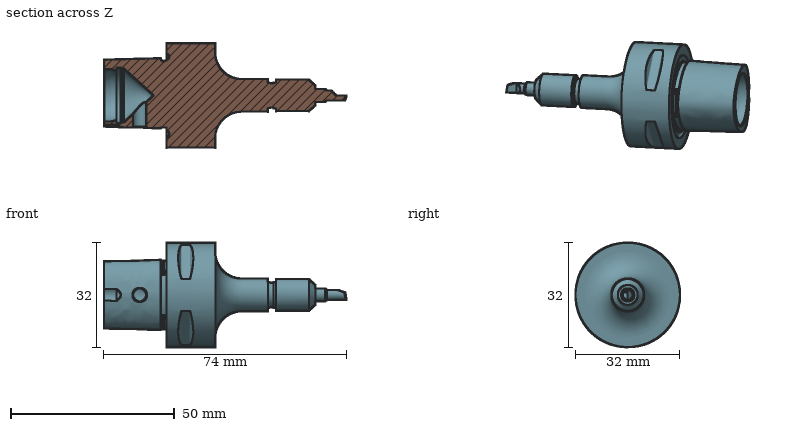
import cadquery as cq
import math

TOTAL_LENGTH = 74.0

SHANK_LENGTH = 17.25
SHANK_END_RADIUS = 10.3
SHANK_ROOT_RADIUS = 10.7
LOBE_HEIGHT = 0.7
LOBE_COUNT = 3
LOBE_POINTS = 48

NECK_START = 17.5
NECK_INSET = 0.2
NECK_CONE_RADIUS = 10.95
NECK_CONE_END = 17.9
NECK_RADIUS = 10.5
NECK_FLARE_START = 18.35
NECK_FLARE_RADIUS = 10.8

FLANGE_START = 19.0
FLANGE_END = 34.0
FLANGE_RADIUS = 16.0
FACE_GROOVE_INNER = 10.95
FACE_GROOVE_OUTER = 12.65

SLOT_CENTRE = 24.95
SLOT_FLOOR_WIDTH = 2.7
SLOT_FLOOR_DISTANCE = 14.2
SLOT_WALL_ANGLE = 29.0
SLOT_FILLET = 0.45

SHAFT_RADIUS = 5.0
SHAFT_BLEND = 8.0
SHAFT_END = 50.0
RELIEF_CONE_END = 50.9
RELIEF_END = 51.7
RELIEF_RADIUS = 3.8
RELIEF_RIM_RADIUS = 4.0
NUT_START = 52.4
NUT_RADIUS = 4.9
NUT_CHAMFER_START = 62.45
NUT_END = 64.45
NUT_END_RADIUS = 3.0
TOOL_SHANK_END = 67.4
TOOL_SHANK_RADIUS = 2.0
TOOL_CONE_END = 68.0
TOOL_RADIUS = 1.55

TIP_FLAT_START = 70.8
TIP_RELIEF_START = 71.25
TIP_RELIEF_SLOPE = 0.35
END_SLOPE_ALONG_Y = 0.2
END_SLOPE_ALONG_Z = 0.17
CUTTER_SIZE = 7.4

BORE_MOUTH_RADIUS = 8.15
BORE_CHAMFER = 0.2
BORE_TAPER_START = 2.3
BORE_LIP = 3.85
BORE_LIP_RADIUS = 7.5
BORE_GROOVE_END = 5.0
BORE_GROOVE_RADIUS = 8.4
BORE_SEAT = 5.55
BORE_CONE_START = 6.1
BORE_CONE_TIP = 15.1

HOLE_CENTRE = 10.9
HOLE_RADIUS = 2.0
HOLE_FLOOR = 1.5
HOLE_CHAMFER = 0.2
HOLE_CHAMFER_DEPTH = 0.4
KEYWAY_LENGTH = 3.8
KEYWAY_RADIUS = 2.9
KEYWAY_FLOOR = 8.95
KEYWAY_END_ANGLE = 30.0


def revolve_about_axis(profile):
    """Turn a profile, drawn as axial position against radius, about X."""
    return profile.close().revolve(360, (0, 0, 0), (1, 0, 0))


def lobe_curve_points(mean_radius):
    """Constant-width curve whose support distance is mean + lobe * cos(count * angle)."""
    points = []
    for i in range(LOBE_POINTS):
        angle = 2 * math.pi * i / LOBE_POINTS
        support = mean_radius + LOBE_HEIGHT * math.cos(LOBE_COUNT * angle)
        slope = -LOBE_COUNT * LOBE_HEIGHT * math.sin(LOBE_COUNT * angle)
        y = support * math.cos(angle) - slope * math.sin(angle)
        z = support * math.sin(angle) + slope * math.cos(angle)
        points.append((y, z))
    return points


def lobed_section(start, start_radius, end, end_radius):
    """Straight-sided lobed solid between two mean radii."""
    return (
        cq.Workplane("YZ", origin=(start, 0, 0))
        .spline(lobe_curve_points(start_radius), periodic=True)
        .close()
        .workplane(offset=end - start)
        .spline(lobe_curve_points(end_radius), periodic=True)
        .close()
        .loft(ruled=True)
    )


def make_shank():
    """Tapered lobed shank with a bevel at its root."""
    taper = lobed_section(0, SHANK_END_RADIUS, SHANK_LENGTH, SHANK_ROOT_RADIUS)
    bevel = lobed_section(
        SHANK_LENGTH, SHANK_ROOT_RADIUS, NECK_START, SHANK_ROOT_RADIUS - NECK_INSET
    )
    return taper.union(bevel)


def make_neck():
    """Inset lobed section with its lobes turned down, then flaring into the flange."""
    neck_mean = SHANK_ROOT_RADIUS - NECK_INSET
    lobed = lobed_section(NECK_START, neck_mean, FLANGE_START, neck_mean)
    turned = revolve_about_axis(
        cq.Workplane("XY")
        .moveTo(NECK_START, 0)
        .lineTo(NECK_START, NECK_CONE_RADIUS)
        .lineTo(NECK_CONE_END, NECK_RADIUS)
        .lineTo(NECK_FLARE_START, NECK_RADIUS)
        .lineTo(FLANGE_START, NECK_FLARE_RADIUS)
        .lineTo(FLANGE_START, 0)
    )
    return lobed.intersect(turned)


def make_turned_body():
    """Flange, blended shaft, relief, nut and round tool in one profile."""
    blend_end = FLANGE_END + SHAFT_BLEND
    blend_top = SHAFT_RADIUS + SHAFT_BLEND
    blend_offset = SHAFT_BLEND * (1 - math.sqrt(0.5))
    profile = (
        cq.Workplane("XY")
        .moveTo(FLANGE_START, 0)
        .lineTo(FLANGE_START, FLANGE_RADIUS)
        .lineTo(FLANGE_END, FLANGE_RADIUS)
        .lineTo(FLANGE_END, blend_top)
        .threePointArc(
            (FLANGE_END + blend_offset, SHAFT_RADIUS + blend_offset),
            (blend_end, SHAFT_RADIUS),
        )
        .lineTo(SHAFT_END, SHAFT_RADIUS)
        .lineTo(SHAFT_END, RELIEF_RIM_RADIUS)
        .lineTo(RELIEF_CONE_END, RELIEF_RADIUS)
        .lineTo(RELIEF_END, RELIEF_RADIUS)
        .lineTo(RELIEF_END, RELIEF_RIM_RADIUS)
        .lineTo(NUT_START, RELIEF_RIM_RADIUS)
        .lineTo(NUT_START, NUT_RADIUS)
        .lineTo(NUT_CHAMFER_START, NUT_RADIUS)
        .lineTo(NUT_END, NUT_END_RADIUS)
        .lineTo(NUT_END, TOOL_SHANK_RADIUS)
        .lineTo(TOOL_SHANK_END, TOOL_SHANK_RADIUS)
        .lineTo(TOOL_CONE_END, TOOL_RADIUS)
        .lineTo(TOTAL_LENGTH, TOOL_RADIUS)
        .lineTo(TOTAL_LENGTH, 0)
    )
    return revolve_about_axis(profile)


def make_face_groove():
    """Half-round ring groove in the flange face, around the neck."""
    groove_radius = (FACE_GROOVE_OUTER - FACE_GROOVE_INNER) / 2
    profile = (
        cq.Workplane("XY")
        .moveTo(FLANGE_START, FACE_GROOVE_INNER)
        .threePointArc(
            (FLANGE_START + groove_radius, FACE_GROOVE_INNER + groove_radius),
            (FLANGE_START, FACE_GROOVE_OUTER),
        )
    )
    return revolve_about_axis(profile)


def make_gripper_slots():
    """Four straight slots with flared walls, halfway between the Y and Z axes."""
    depth = FLANGE_RADIUS - SLOT_FLOOR_DISTANCE
    floor_half = SLOT_FLOOR_WIDTH / 2
    top_half = floor_half + depth * math.tan(math.radians(SLOT_WALL_ANGLE))
    slot = (
        cq.Workplane("XZ")
        .moveTo(SLOT_CENTRE - floor_half, SLOT_FLOOR_DISTANCE)
        .lineTo(SLOT_CENTRE + floor_half, SLOT_FLOOR_DISTANCE)
        .lineTo(SLOT_CENTRE + top_half, FLANGE_RADIUS)
        .lineTo(SLOT_CENTRE - top_half, FLANGE_RADIUS)
        .close()
        .extrude(FLANGE_RADIUS, both=True)
        .faces("<Z")
        .edges("|Y")
        .fillet(SLOT_FILLET)
    )
    slots = cq.Workplane("XY")
    for angle in (45, 135, 225, 315):
        slots = slots.add(slot.rotate((0, 0, 0), (1, 0, 0), angle))
    return slots.combine()


def make_bore():
    """Mouth chamfer, tapered lip, clamping groove and conical bottom."""
    mouth_radius = BORE_MOUTH_RADIUS - BORE_CHAMFER
    profile = (
        cq.Workplane("XY")
        .lineTo(0, BORE_MOUTH_RADIUS)
        .lineTo(BORE_CHAMFER, mouth_radius)
        .lineTo(BORE_TAPER_START, mouth_radius)
        .lineTo(BORE_LIP, BORE_LIP_RADIUS)
        .lineTo(BORE_LIP, BORE_GROOVE_RADIUS)
        .lineTo(BORE_GROOVE_END, BORE_GROOVE_RADIUS)
        .lineTo(BORE_SEAT, BORE_MOUTH_RADIUS)
        .lineTo(BORE_CONE_START, BORE_MOUTH_RADIUS)
        .lineTo(BORE_CONE_TIP, 0)
    )
    return revolve_about_axis(profile)


def make_cross_hole():
    """Hole through the -Y wall, with a chamfered mouth."""
    flank = SHANK_END_RADIUS - LOBE_HEIGHT
    flank += (SHANK_ROOT_RADIUS - SHANK_END_RADIUS) * HOLE_CENTRE / SHANK_LENGTH
    mouth_radius = HOLE_RADIUS + HOLE_CHAMFER
    profile = (
        cq.Workplane("XY")
        .moveTo(HOLE_CENTRE, -HOLE_FLOOR)
        .lineTo(HOLE_CENTRE + HOLE_RADIUS, -HOLE_FLOOR)
        .lineTo(HOLE_CENTRE + HOLE_RADIUS, HOLE_CHAMFER_DEPTH - flank)
        .lineTo(HOLE_CENTRE + mouth_radius, -flank)
        .lineTo(HOLE_CENTRE + mouth_radius, -SHANK_ROOT_RADIUS)
        .lineTo(HOLE_CENTRE, -SHANK_ROOT_RADIUS)
        .close()
    )
    return profile.revolve(360, (HOLE_CENTRE, 0, 0), (HOLE_CENTRE, 1, 0))


def make_keyway():
    """Round-bottomed keyway from the end face, closed by a cone."""
    axis_y = -KEYWAY_FLOOR - KEYWAY_RADIUS
    tip = KEYWAY_LENGTH + KEYWAY_RADIUS / math.tan(math.radians(KEYWAY_END_ANGLE))
    profile = (
        cq.Workplane("XY")
        .moveTo(0, axis_y)
        .lineTo(0, -KEYWAY_FLOOR)
        .lineTo(KEYWAY_LENGTH, -KEYWAY_FLOOR)
        .lineTo(tip, axis_y)
        .close()
    )
    return profile.revolve(360, (0, axis_y, 0), (1, axis_y, 0))


def make_tip_flat():
    """Removes the +Y half of the tip, running out diagonally at 45 degrees."""
    return (
        cq.Workplane("XY")
        .moveTo(TIP_FLAT_START, 0)
        .lineTo(TIP_FLAT_START + CUTTER_SIZE, 0)
        .lineTo(TIP_FLAT_START + CUTTER_SIZE, TOOL_RADIUS)
        .lineTo(TIP_FLAT_START - TOOL_RADIUS, TOOL_RADIUS)
        .close()
        .extrude(CUTTER_SIZE, both=True)
    )


def make_half_space(point, normal):
    """Block lying on the side of a plane that its normal points to."""
    plane = cq.Plane(origin=point, xDir=(0, 1, -normal[1] / normal[2]), normal=normal)
    return cq.Workplane(plane).rect(CUTTER_SIZE, CUTTER_SIZE).extrude(CUTTER_SIZE)


def make_tip_relief():
    """Sloping face along the top of the tip."""
    return make_half_space((TIP_RELIEF_START, 0, TOOL_RADIUS), (TIP_RELIEF_SLOPE, 0, 1))


def make_tip_end():
    """Slanted end face, leaving the lowest point of the flat foremost."""
    return make_half_space(
        (TOTAL_LENGTH, 0, -TOOL_RADIUS), (1, -END_SLOPE_ALONG_Y, END_SLOPE_ALONG_Z)
    )


result = (
    make_turned_body()
    .cut(make_face_groove())
    .cut(make_gripper_slots())
    .cut(make_tip_flat())
    .cut(make_tip_relief())
    .cut(make_tip_end())
    .union(make_neck())
    .union(make_shank())
    .cut(make_bore())
    .cut(make_cross_hole())
    .cut(make_keyway())
)